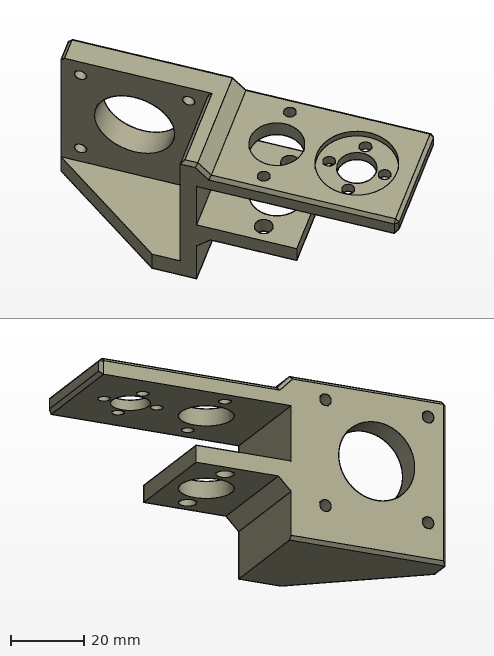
import cadquery as cq

length = 104.8
depth = 34.0
bevel = 1.0
mid_y = depth / 2

base_thickness = 6.0
motor_square = 42.0
height = base_thickness + motor_square
plate_thickness = 8.0
plate_front_y = depth - plate_thickness
wall_left = 42.3
wall_right = 47.1
base_slope_end = 34.3

arm_thickness = 5.0
gusset = 3.9
upper_arm_top = height - gusset
lower_arm_top = 22.8
lower_arm_bottom = lower_arm_top - arm_thickness
lower_arm_end = 75.8

screw_diameter = 3.5
motor_bore = 23.0
motor_center = wall_left / 2
motor_screw_spacing = 31.0
arm_bore = 15.3
arm_bore_x = 64.8
arm_screw_offset = 12.0
lower_screw_diameter = 5.0
bearing_x = 87.7
bearing_bore = 11.0
bearing_recess_diameter = 23.0
bearing_recess_depth = 2.0
bearing_screw_offset = 8.0


def wall_and_arms():
    """Upright wall with both arms, as one profile across the full depth."""
    profile = [
        (wall_left, 0),
        (wall_right, 0),
        (wall_right, lower_arm_bottom - gusset),
        (wall_right + gusset, lower_arm_bottom),
        (lower_arm_end, lower_arm_bottom),
        (lower_arm_end, lower_arm_top),
        (wall_right, lower_arm_top),
        (wall_right, upper_arm_top - arm_thickness),
        (length, upper_arm_top - arm_thickness),
        (length, upper_arm_top),
        (wall_right + gusset, upper_arm_top),
        (wall_right, height),
        (wall_left, height),
    ]
    return cq.Workplane("XZ").polyline(profile).close().extrude(-depth)


def motor_plate():
    """Upright plate along the back, left of the wall."""
    plate = cq.Workplane("XY").box(wall_right, plate_thickness, height, centered=False)
    return plate.translate((0, plate_front_y, 0))


def base_web():
    """Bottom web whose front left corner is cut off by a slope."""
    outline = [
        (0, depth),
        (0, plate_front_y),
        (base_slope_end, 0),
        (wall_right, 0),
        (wall_right, depth),
    ]
    return cq.Workplane("XY").polyline(outline).close().extrude(base_thickness)


def edges_between(body, low, high):
    """Edges lying completely inside the box spanned by two corners."""
    margin = 0.01
    box_low = [value - margin for value in low]
    box_high = [value + margin for value in high]
    return body.edges(cq.selectors.BoxSelector(box_low, box_high, boundingbox=True))


def bevel_edges(body):
    """Bevel the top outline, the arm end, and the back edges of the motor plate."""
    arm_bottom = upper_arm_top - arm_thickness
    front_top = edges_between(body, (wall_left, 0, upper_arm_top), (length, 0, height))
    back_top = edges_between(body, (0, depth, upper_arm_top), (length, depth, height))
    arm_end = edges_between(body, (length, 0, arm_bottom), (length, depth, upper_arm_top))
    plate_left_top = edges_between(body, (0, plate_front_y, height), (0, depth, height))
    plate_left_back = edges_between(body, (0, depth, 0), (0, depth, height))
    back_bottom = edges_between(body, (0, depth, 0), (wall_right, depth, 0))
    wall_left_top = edges_between(body, (wall_left, 0, height), (wall_left, plate_front_y, height))
    chosen = front_top
    for group in (back_top, arm_end, plate_left_top, plate_left_back, back_bottom, wall_left_top):
        chosen = chosen.add(group)
    return chosen.chamfer(bevel)


def vertical_holes(points, diameter, bottom, top):
    """Upright cylinders at the given XY points."""
    plane = cq.Workplane("XY").workplane(offset=bottom)
    return plane.pushPoints(points).circle(diameter / 2).extrude(top - bottom)


def motor_holes():
    """Motor bore and its four screw holes through the plate."""
    plane = cq.Workplane("XZ").center(motor_center, base_thickness + motor_square / 2)
    bore = plane.circle(motor_bore / 2).extrude(-depth)
    screws = plane.rect(motor_screw_spacing, motor_screw_spacing, forConstruction=True).vertices()
    return bore.union(screws.circle(screw_diameter / 2).extrude(-depth))


def arm_holes():
    """Bore through both arms, with wider screw holes in the lower arm."""
    split = (lower_arm_top + upper_arm_top) / 2
    screws = [(arm_bore_x, mid_y + side * arm_screw_offset) for side in (-1, 1)]
    bore = vertical_holes([(arm_bore_x, mid_y)], arm_bore, 0, height)
    lower = vertical_holes(screws, lower_screw_diameter, 0, split)
    upper = vertical_holes(screws, screw_diameter, split, height)
    return bore.union(lower).union(upper)


def bearing_holes():
    """Recess, bore and four screw holes near the end of the upper arm."""
    center = (bearing_x, mid_y)
    recess_floor = upper_arm_top - bearing_recess_depth
    screws = []
    for side in (-1, 1):
        screws.append((bearing_x + side * bearing_screw_offset, mid_y))
        screws.append((bearing_x, mid_y + side * bearing_screw_offset))
    recess = vertical_holes([center], bearing_recess_diameter, recess_floor, height)
    bore = vertical_holes([center], bearing_bore, 0, height)
    return recess.union(bore).union(vertical_holes(screws, screw_diameter, 0, height))


body = wall_and_arms().union(motor_plate()).union(base_web()).clean()
body = bevel_edges(body)
result = body.cut(motor_holes()).cut(arm_holes()).cut(bearing_holes())